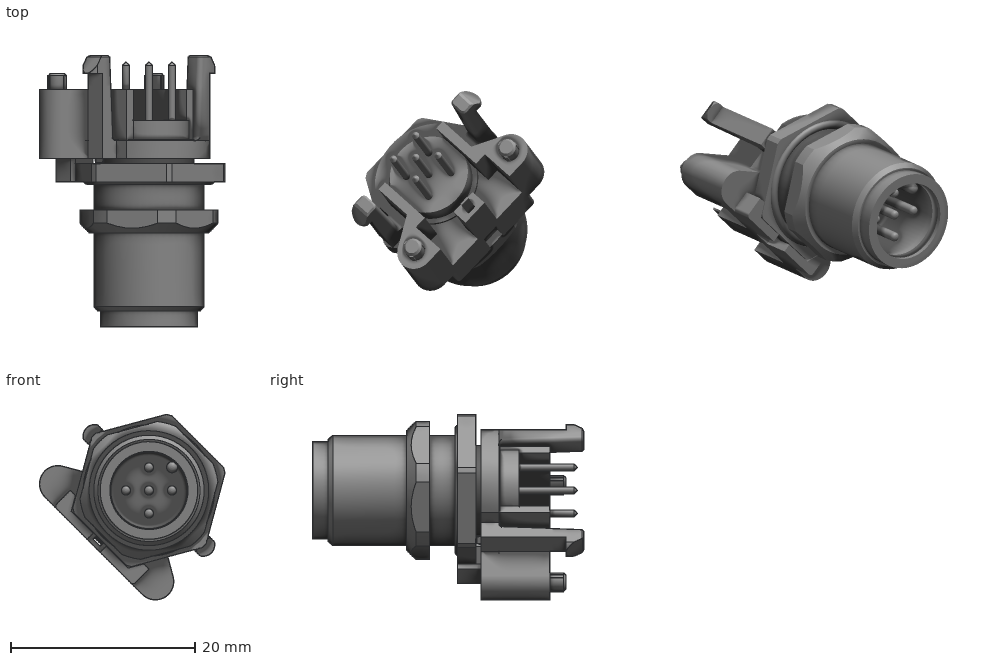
import cadquery as cq
import math


mouth_y = -15.75
nose_dia = 10.6
nose_rear_y = -14.05
thread_dia = 12.0
thread_chamfer_dia = 11.1
thread_chamfer_length = 0.5
flange_flats = 15.0
flange_thickness = 2.0
flange_corner_dia = 16.97
neck_dia = 9.8
neck_rear_y = 4.6
mouth_dia = 8.5
lip_length = 0.5

nut_flats = 14.0
nut_corner_dia = 15.1
nut_face_dia = 13.0
nut_rear_y = -3.03
nut_thickness = 2.5

seal_wire_dia = 1.0
seal_inner_dia = 12.3
seal_stand_out = 0.27

carrier_dia = 9.6
carrier_shoulder_y = 0.0
carrier_bore_dia = 8.3
carrier_rim_y = -14.4
carrier_floor_y = -7.0
carrier_floor_fillet = 0.35
carrier_boss_dia = 8.74
carrier_boss_rear_y = 6.7
pin_pitch = 2.5
pin_front_dia = 1.0
pin_front_y = -13.5
pin_dome_radius = 0.4
pin_rear_dia = 0.8
pin_rear_y = 13.05
key_dia = 1.2
key_offset = 3.56
key_dome_radius = 0.5

holder_front_y = 2.54
plate_rear_y = 4.5
holder_rear_y = 10.05
holder_base = -8.5
holder_bore_dia = 10.0
ring_dia = 13.2
plate_half_width = 6.05
plate_corner_fillet = 0.4
lobe_across = 7.5
lobe_radius = 2.0
lobe_up = holder_base + lobe_radius
lobe_flank_angle = 60.0
window_half_width = 5.47
window_top = -4.6
wall_inner = 4.05
wall_outer = 5.1
wall_top = 1.69
boss_clearance = 0.05
rib_half_width = 1.5
rib_top = -6.6
seat_clearance = 0.07
seat_side_top = -6.04
seat_corner_fillet = 0.4
notch_half_width = 1.0
notch_depth = 3.25

peg_across = 7.47
peg_up = -6.6
peg_dia = 2.0
peg_length = 1.75
peg_chamfer = 0.25
peg_rib_count = 3
peg_rib_reach = 1.08
peg_rib_width = 0.4
peg_rib_angle = -22.0

clip_half_width = 1.09
clip_outer = 8.26
clip_foot_inner = 5.0
clip_root_inner = 6.35
clip_tip_inner = 6.82
clip_tip_y = 13.75
clip_inner_fillet = 0.5
clip_root_fillet = 0.4
clip_tip_chamfer = 0.2
hook_y = 11.8
hook_reach = 9.6
hook_side_reach = 9.0
hook_slope = 0.65

blade_half_width = 0.53
blade_outer = -7.82
blade_inner = -7.6
blade_front_y = 2.1
blade_rear_y = 12.56
blade_nose_length = 0.75
blade_nose_thickness = 0.05
blade_slot_outer = -8.03


def turned(y):
    """Workplane across the part at the given Y, in the turned frame, facing +Y."""
    return cq.Workplane(cq.Plane(origin=(0, y, 0), xDir=(-1, 0, 1), normal=(0, 1, 0)))


def turned_side(up_axis_shift=0.0):
    """Workplane whose first axis is "across" and second axis is Y; it faces away from "up"."""
    shift = up_axis_shift / math.sqrt(2)
    return cq.Workplane(cq.Plane(origin=(shift, 0, shift), xDir=(-1, 0, 1), normal=(-1, 0, -1)))


def cylinder(dia, y_from, y_to, x=0.0, z=0.0):
    plane = cq.Plane(origin=(x, y_from, z), xDir=(1, 0, 0), normal=(0, 1, 0))
    return cq.Workplane(plane).circle(dia / 2).extrude(y_to - y_from)


def turned_box(across_from, across_to, up_from, up_to, y_from, y_to):
    width = across_to - across_from
    height = up_to - up_from
    sketch = turned(y_from).center((across_from + across_to) / 2, (up_from + up_to) / 2)
    return sketch.rect(width, height).extrude(y_to - y_from)


def hexagon(flats, y_from, y_to):
    return turned(y_from).polygon(6, flats / math.cos(math.pi / 6)).extrude(y_to - y_from)


def nearest(across, up, y):
    """Selector for the edge nearest to a place given in the turned frame."""
    place = turned(y).plane.toWorldCoords((across, up))
    return cq.selectors.NearestToPointSelector(place.toTuple())


def both_sides(shape):
    """Adds the mirror image of a shape on the other side of the holder."""
    return shape.union(shape.mirror(cq.Vector(-1, 0, 1)))


seal_wire_radius = seal_wire_dia / 2
seal_center_y = seal_wire_radius - seal_stand_out
seal_center_radius = seal_inner_dia / 2 + seal_wire_radius


def make_housing():
    flange = hexagon(flange_flats, 0, flange_thickness)
    flange = flange.intersect(cylinder(flange_corner_dia, 0, flange_thickness))
    thread = cylinder(thread_dia, nose_rear_y, flange_thickness)
    thread = thread.faces("<Y").chamfer(thread_chamfer_length, (thread_dia - thread_chamfer_dia) / 2)
    nose = cylinder(nose_dia, mouth_y, nose_rear_y)
    neck = cylinder(neck_dia, 0, neck_rear_y)
    groove_depth = seal_center_y + seal_wire_radius
    groove = cylinder(seal_inner_dia + 2 * seal_wire_dia, 0, groove_depth)
    flange = flange.cut(groove)
    body = flange.union(thread).union(nose).union(neck)
    body = body.cut(cylinder(mouth_dia, mouth_y, mouth_y + lip_length))
    body = body.cut(cylinder(carrier_dia, mouth_y + lip_length, carrier_shoulder_y))
    return body.cut(cylinder(carrier_boss_dia, carrier_shoulder_y, neck_rear_y))


def make_nut():
    nut_front_y = nut_rear_y - nut_thickness
    cone_length = (nut_corner_dia - nut_face_dia) / 2
    envelope = cylinder(nut_corner_dia, nut_front_y, nut_rear_y).faces("<Y").chamfer(cone_length)
    nut = hexagon(nut_flats, nut_front_y, nut_rear_y).intersect(envelope)
    return nut.cut(cylinder(thread_dia, nut_front_y, nut_rear_y))


def make_seal():
    wire = cq.Workplane("XY").center(seal_center_radius, seal_center_y).circle(seal_wire_radius)
    return wire.revolve(360, (-seal_center_radius, 0, 0), (-seal_center_radius, 1, 0))


def make_pin(x, z):
    front = cylinder(pin_front_dia, pin_front_y, 0, x, z).faces("<Y").edges().fillet(pin_dome_radius)
    tip_length = pin_rear_dia / 2
    rear = cylinder(pin_rear_dia, 0, pin_rear_y - tip_length, x, z)
    tip_base = cq.Vector(x, pin_rear_y - tip_length, z)
    tip = cq.Solid.makeCone(pin_rear_dia / 2, 0, tip_length, tip_base, cq.Vector(0, 1, 0))
    return front.union(rear).union(cq.Workplane(tip))


def make_carrier():
    bore = cylinder(carrier_bore_dia, carrier_rim_y, carrier_floor_y)
    bore = bore.faces(">Y").edges().fillet(carrier_floor_fillet)
    carrier = cylinder(carrier_dia, carrier_rim_y, carrier_shoulder_y).cut(bore)
    carrier = carrier.union(cylinder(carrier_boss_dia, carrier_shoulder_y, carrier_boss_rear_y))
    key_place = key_offset / math.sqrt(2)
    key = cylinder(key_dia, pin_front_y, carrier_floor_y + carrier_floor_fillet, key_place, key_place)
    key = key.faces("<Y").edges().fillet(key_dome_radius)
    key = key.intersect(cylinder(carrier_dia, carrier_rim_y, carrier_shoulder_y))
    carrier = carrier.union(key)
    pin_places = [(0, 0), (pin_pitch, 0), (0, pin_pitch), (-pin_pitch, 0), (0, -pin_pitch)]
    for x, z in pin_places:
        carrier = carrier.union(make_pin(x, z))
    return carrier


def lobe_point(angle):
    """Point on the round end of the holder at an angle measured from "across"."""
    turn = math.radians(angle)
    return lobe_across + lobe_radius * math.cos(turn), lobe_up + lobe_radius * math.sin(turn)


def flank_up(across):
    """Height of the sloping flank that leaves the round end towards the middle of the holder."""
    start_across, start_up = lobe_point(lobe_flank_angle)
    return start_up + (start_across - across) / math.tan(math.radians(lobe_flank_angle))


def lobe_outline(y, inner):
    """Starts an outline at (inner, base) and draws it round the lobe to the start of the flank."""
    outline = turned(y).moveTo(inner, holder_base).lineTo(lobe_across, holder_base)
    return outline.threePointArc(lobe_point((lobe_flank_angle - 90) / 2), lobe_point(lobe_flank_angle))


def make_plate():
    thickness = plate_rear_y - holder_front_y
    corner_up = flank_up(plate_half_width)
    plate = turned(holder_front_y).circle(ring_dia / 2).extrude(thickness)
    width_limit = turned_box(-plate_half_width, plate_half_width, holder_base, ring_dia,
                             holder_front_y, plate_rear_y)
    plate = plate.intersect(width_limit)
    lobe = lobe_outline(holder_front_y, 0).lineTo(plate_half_width, corner_up)
    lobe = lobe.lineTo(plate_half_width, 0).lineTo(0, 0).close().extrude(thickness)
    middle_y = (holder_front_y + plate_rear_y) / 2
    lobe = lobe.edges(nearest(plate_half_width, corner_up, middle_y)).fillet(plate_corner_fillet)
    return plate.union(both_sides(lobe))


def make_rear_walls():
    """Lobes and the thin walls beside the carrier, behind the plate."""
    block = lobe_outline(plate_rear_y, window_half_width)
    block = block.lineTo(wall_outer, flank_up(wall_outer)).lineTo(wall_outer, wall_top)
    block = block.lineTo(wall_inner, wall_top).lineTo(wall_inner, window_top)
    block = block.lineTo(window_half_width, window_top).close().extrude(holder_rear_y - plate_rear_y)
    walls = both_sides(block)
    boss_room = carrier_boss_dia + 2 * boss_clearance
    return walls.cut(cylinder(boss_room, plate_rear_y, carrier_boss_rear_y + boss_clearance))


def make_flange_seat():
    """Tabs in front of the plate that hold the flange against turning."""
    seat = turned_box(-plate_half_width, plate_half_width, holder_base, seat_side_top, 0, holder_front_y)
    base_edges = seat.faces(cq.selectors.DirectionMinMaxSelector(cq.Vector(1, 0, 1), False)).edges("|Y")
    seat = base_edges.fillet(seat_corner_fillet)
    return seat.cut(hexagon(flange_flats + 2 * seat_clearance, 0, holder_front_y))


def make_peg(across):
    peg = turned(holder_rear_y).center(across, peg_up).circle(peg_dia / 2).extrude(peg_length)
    peg = peg.faces(">Y").chamfer(peg_chamfer)
    for index in range(peg_rib_count):
        angle = peg_rib_angle + index * 360 / peg_rib_count
        rib = cq.Workplane("XY").box(peg_rib_reach, peg_rib_width, peg_length - peg_chamfer,
                                     centered=(False, True, False))
        rib = rib.rotate((0, 0, 0), (0, 0, 1), angle).translate((across, peg_up, 0))
        rib = cq.Workplane(rib.val().moved(cq.Location(turned(holder_rear_y).plane)))
        peg = peg.union(rib)
    return peg


def make_clip():
    """Springy arm with an outward hook; profile drawn across and along Y, extruded through its width."""
    hook_tip_reach = hook_reach - hook_slope * (clip_tip_y - hook_y)
    outline = [
        (clip_outer, holder_front_y),
        (clip_outer, hook_y),
        (hook_reach, hook_y),
        (hook_tip_reach, clip_tip_y),
        (clip_tip_inner, clip_tip_y),
        (clip_root_inner, plate_rear_y),
        (clip_root_inner, holder_front_y),
    ]
    clip = turned_side(clip_half_width).polyline(outline).close().extrude(2 * clip_half_width)
    rounded = turned(holder_front_y).moveTo(0, -clip_half_width).lineTo(hook_side_reach, -clip_half_width)
    rounded = rounded.threePointArc((hook_reach, 0), (hook_side_reach, clip_half_width))
    rounded = rounded.lineTo(0, clip_half_width).close().extrude(clip_tip_y - holder_front_y)
    clip = clip.intersect(rounded)
    arm_middle = ((clip_root_inner + clip_tip_inner) / 2, (plate_rear_y + clip_tip_y) / 2)
    for up in (-clip_half_width, clip_half_width):
        clip = clip.edges(nearest(arm_middle[0], up, arm_middle[1])).fillet(clip_inner_fillet)
    clip = clip.faces(">Y").chamfer(clip_tip_chamfer)
    foot = turned_box(clip_foot_inner, clip_outer, -clip_half_width, clip_half_width,
                      holder_front_y, plate_rear_y)
    clip = clip.union(foot)
    return clip.edges(nearest(clip_root_inner, 0, plate_rear_y)).fillet(clip_root_fillet)


def make_holder():
    rib = turned_box(-rib_half_width, rib_half_width, holder_base, rib_top, plate_rear_y, holder_rear_y)
    holder = make_plate().union(make_rear_walls()).union(make_flange_seat()).union(rib)
    holder = holder.union(both_sides(make_clip()))
    for across in (-peg_across, peg_across):
        holder = holder.union(make_peg(across))
    holder = holder.cut(cylinder(holder_bore_dia, holder_front_y, neck_rear_y))
    notch = turned_box(-notch_half_width, notch_half_width, holder_base, -flange_flats / 2, 0, notch_depth)
    blade_slot = turned_box(-blade_half_width, blade_half_width, blade_slot_outer, blade_inner, 0, holder_rear_y)
    return holder.cut(notch).cut(blade_slot)


def make_ground_blade():
    """Flat strip through the holder slot; its outer face curves in towards the front end."""
    nose_end_y = blade_front_y + blade_nose_length
    nose_drop = blade_inner - blade_nose_thickness - blade_outer
    nose_radius = (blade_nose_length**2 + nose_drop**2) / (2 * nose_drop)
    half_turn = math.asin(blade_nose_length / nose_radius) / 2
    nose_middle = (
        blade_outer + nose_radius * (1 - math.cos(half_turn)),
        nose_end_y - nose_radius * math.sin(half_turn),
    )
    side = cq.Workplane(cq.Plane(origin=(0, 0, 0), xDir=(1, 0, 1), normal=(-1, 0, 1)))
    outline = side.moveTo(blade_inner, blade_front_y).lineTo(blade_inner, blade_rear_y)
    outline = outline.lineTo(blade_outer, blade_rear_y).lineTo(blade_outer, nose_end_y)
    outline = outline.threePointArc(nose_middle, (blade_inner - blade_nose_thickness, blade_front_y))
    return outline.close().extrude(blade_half_width, both=True)


housing = make_housing()
nut = make_nut()
seal = make_seal()
carrier = make_carrier()
holder = make_holder()
ground_blade = make_ground_blade()

result = cq.Compound.makeCompound([
    housing.val(),
    nut.val(),
    seal.val(),
    carrier.val(),
    holder.val(),
    ground_blade.val(),
])